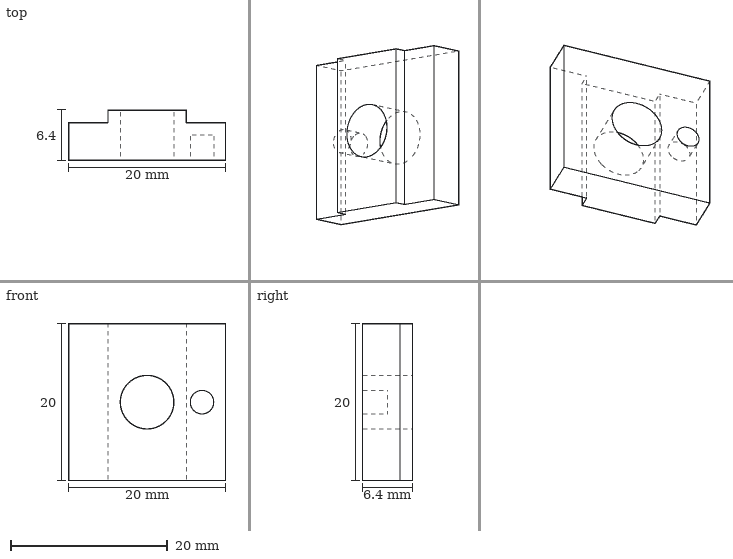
import cadquery as cq

plate_side = 20.0
plate_thickness = 4.8

tongue_width = plate_side / 2
tongue_height = 1.6
total_depth = plate_thickness + tongue_height

bore_diameter = 6.8

pin_hole_diameter = 3.0
pin_hole_offset = 7.0
pin_hole_depth = 3.2


def block(width, depth):
    """Full-height block centred on X and Z, running back from the front face."""
    return cq.Workplane("XY").box(width, depth, plate_side, centered=(True, False, True))


def front_hole(x, diameter, depth):
    """Cylinder running back from the front face at mid-height."""
    return cq.Workplane("XZ").center(x, 0).circle(diameter / 2).extrude(-depth)


body = block(plate_side, plate_thickness).union(block(tongue_width, total_depth))
bore = front_hole(0, bore_diameter, total_depth)
pin_hole = front_hole(pin_hole_offset, pin_hole_diameter, pin_hole_depth)

result = body.cut(bore).cut(pin_hole)